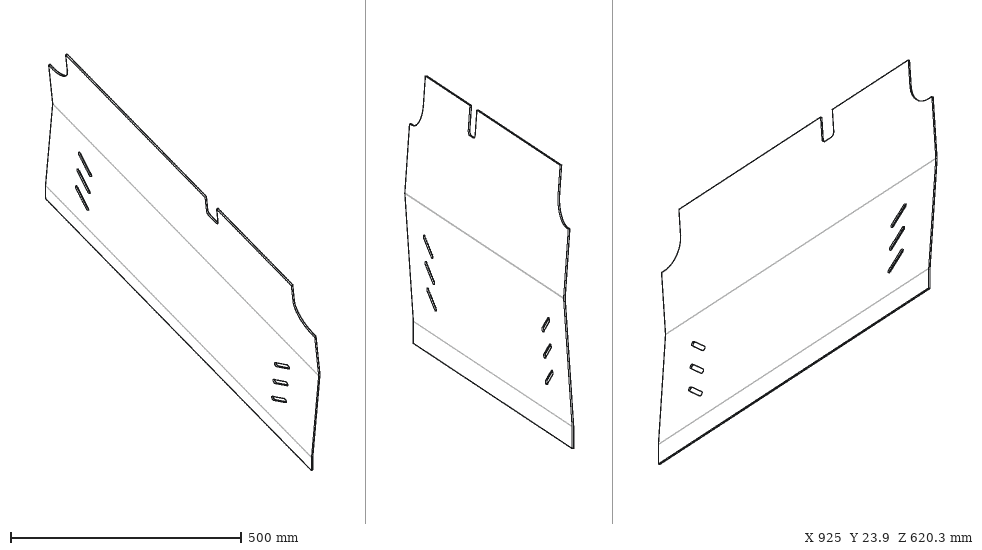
import cadquery as cq
import math

width = 925.0
height = 620.0
thickness = 4.0

flange_height = 50.0
ridge_height = 340.6
ridge_setback = 19.91
bend_radius = 5.0

lower_lean = math.atan2(ridge_setback, ridge_height - flange_height)
upper_lean = -math.atan2(ridge_setback, height - ridge_height)

corner_width = 70.0
corner_depth = 125.0
corner_radius = 60.0

notch_center_x = 112.5
notch_width = 40.0
notch_depth = 65.0
notch_radius = 10.0

slot_length = 60.0
slot_width = 10.0
slot_angle = 40.0
slot_center_x = 342.5
slot_middle_rise = 140.4
slot_pitch = 60.0

cut_reach = 100.0


def back_normal(lean, distance):
    """(Y, Z) offset out of the back of a panel that leans back from vertical by the given angle."""
    return distance * math.cos(lean), -distance * math.sin(lean)


def shifted(point, offset):
    return point[0] + offset[0], point[1] + offset[1]


def bend_arc(front_corner, lean_below, lean_above, to_front_face, depth):
    """Start, middle and end of a bend arc lying the given depth behind the front face.

    to_front_face is the distance from the bend axis to the front face, positive when the
    axis is in front of the sheet and negative when it is behind it.
    """
    lean_middle = (lean_below + lean_above) / 2
    axis_to_corner = to_front_face / math.cos((lean_below - lean_above) / 2)
    axis = shifted(front_corner, back_normal(lean_middle, -axis_to_corner))
    leans = (lean_below, lean_middle, lean_above)
    return [shifted(axis, back_normal(lean, to_front_face + depth)) for lean in leans]


def make_bent_sheet():
    """Bend profile in the YZ plane, extruded across the width."""
    front_top = (0, height)

    def flange_bend(depth):
        return bend_arc((0, flange_height), 0, lower_lean, -(bend_radius + thickness), depth)

    def ridge_bend(depth):
        return bend_arc((ridge_setback, ridge_height), lower_lean, upper_lean, bend_radius, depth)

    front_flange = flange_bend(0)
    front_ridge = ridge_bend(0)
    back_flange = flange_bend(thickness)
    back_ridge = ridge_bend(thickness)

    return (
        cq.Workplane("YZ", origin=(-width / 2, 0, 0))
        .lineTo(*front_flange[0])
        .threePointArc(*front_flange[1:])
        .lineTo(*front_ridge[0])
        .threePointArc(*front_ridge[1:])
        .lineTo(*front_top)
        .lineTo(*shifted(front_top, back_normal(upper_lean, thickness)))
        .lineTo(*back_ridge[2])
        .threePointArc(back_ridge[1], back_ridge[0])
        .lineTo(*back_flange[2])
        .threePointArc(back_flange[1], back_flange[0])
        .lineTo(thickness, 0)
        .close()
        .extrude(width)
    )


def panel_plane(origin_y, origin_z, lean):
    """Plane on a panel's front face: X across the panel, Y up its slope, normal out of the front."""
    front_normal = back_normal(lean, -1)
    return cq.Workplane(cq.Plane(origin=(0, origin_y, origin_z), xDir=(1, 0, 0), normal=(0, *front_normal)))


def make_edge_cutter(center_x, cutter_width, depth, radius):
    """Block square to the upper panel, reaching down from its top edge, with round lower corners."""
    block_height = depth + cut_reach
    return (
        panel_plane(0, height, upper_lean)
        .center(center_x, block_height / 2 - depth)
        .sketch()
        .rect(cutter_width, block_height)
        .vertices("<Y")
        .fillet(radius)
        .finalize()
        .extrude(cut_reach, both=True)
    )


def make_corner_cutter(side):
    cutter_width = corner_width + cut_reach
    center_x = side * (width / 2 - corner_width + cutter_width / 2)
    return make_edge_cutter(center_x, cutter_width, corner_depth, corner_radius)


def make_slot_cutters(side):
    """Column of slots square to the lower panel, falling towards the middle of the width."""
    rises = [slot_middle_rise + step * slot_pitch for step in (-1, 0, 1)]
    return (
        panel_plane(0, flange_height, lower_lean)
        .pushPoints([(side * slot_center_x, rise) for rise in rises])
        .slot2D(slot_length, slot_width, side * slot_angle)
        .extrude(cut_reach, both=True)
    )


result = make_bent_sheet()
result = result.cut(make_edge_cutter(notch_center_x, notch_width, notch_depth, notch_radius))
for side in (-1, 1):
    result = result.cut(make_corner_cutter(side))
    result = result.cut(make_slot_cutters(side))